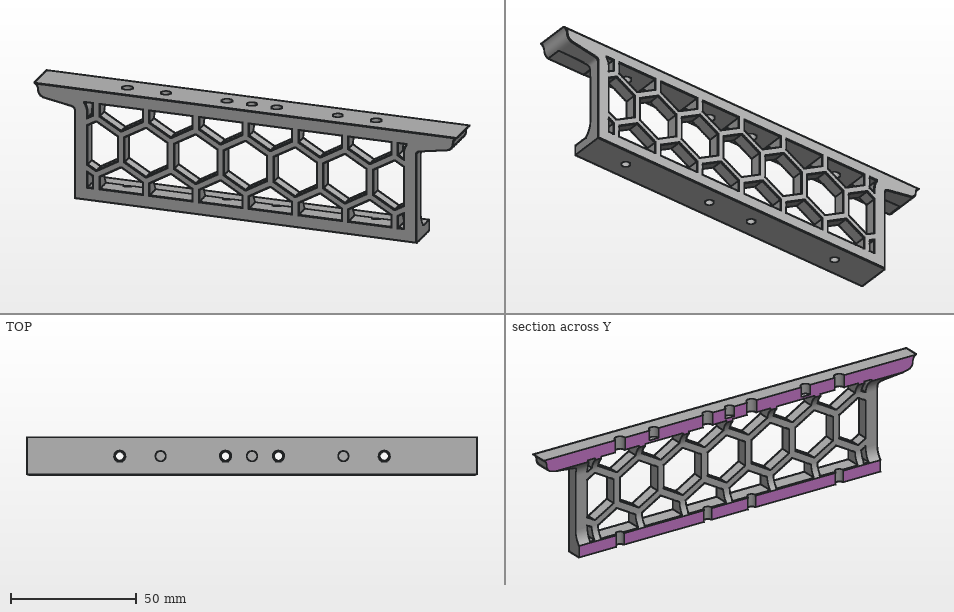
import cadquery as cq
import math

length = 179.0
depth = 15.0
height = 47.0

web_thickness = 5.2
top_flange_thickness = 5.7
bottom_flange_thickness = 4.7
corner_radius = 8.0
corner_height = 6.3

body_half_width = 72.3
wing_slope = math.radians(10)
wing_fillet = 1.6
wing_tip_lower_x = 85.4
wing_tip_lower_z = -5.9
ogee_middle_x = 87.9
ogee_middle_z = -2.7
ogee_upper_bulge = 0.45
ogee_lower_bulge = 0.7

frame_margin = 5.5
cell_pitch = 21.03
cell_wall = 3.0

front_chamfer = 0.3

hole_diameter = 4.5
lower_hole_diameter = 3.5
through_hole_pitches = (-2.5, -0.5, 0.5, 2.5)
blind_hole_diameter = 4.1
blind_hole_spacing = 36.3
blind_hole_depth = 4.3


def bulged_middle(start, end, bulge):
    """Point beside the middle of a chord; a positive bulge lies to the left of start -> end."""
    dx = end[0] - start[0]
    dz = end[1] - start[1]
    chord = math.hypot(dx, dz)
    return (
        (start[0] + end[0]) / 2 - bulge * dz / chord,
        (start[1] + end[1]) / 2 + bulge * dx / chord,
    )


def mirrored(solid):
    """Join a right-hand half with its mirror image."""
    return solid.union(solid.mirror("YZ"))


wing_root_z = wing_tip_lower_z - (wing_tip_lower_x - body_half_width) * math.tan(wing_slope)
fillet_turn = math.pi / 2 - wing_slope
fillet_tangent = wing_fillet * math.tan(fillet_turn / 2)
fillet_centre_x = body_half_width + wing_fillet
fillet_centre_z = wing_root_z - fillet_tangent


def fillet_point(angle):
    return (
        fillet_centre_x + wing_fillet * math.cos(angle),
        fillet_centre_z + wing_fillet * math.sin(angle),
    )


def make_outline():
    """Solid block with the winged outline, over the whole depth."""
    tip = (length / 2, 0)
    ogee_middle = (ogee_middle_x, ogee_middle_z)
    tip_lower = (wing_tip_lower_x, wing_tip_lower_z)
    half = (
        cq.Workplane("XZ")
        .moveTo(0, 0)
        .lineTo(*tip)
        .threePointArc(bulged_middle(tip, ogee_middle, -ogee_upper_bulge), ogee_middle)
        .threePointArc(bulged_middle(ogee_middle, tip_lower, ogee_lower_bulge), tip_lower)
        .lineTo(*fillet_point(math.pi - fillet_turn))
        .threePointArc(fillet_point(math.pi - fillet_turn / 2), fillet_point(math.pi))
        .lineTo(body_half_width, -height)
        .lineTo(0, -height)
        .close()
        .extrude(-depth)
    )
    return mirrored(half)


def make_rear_channel():
    """Space behind the web and between the flanges, with rounded inner corners."""
    ceiling_z = -top_flange_thickness
    floor_z = bottom_flange_thickness - height
    corner_angle = math.asin(corner_height / corner_radius)

    def corner_y(angle):
        return web_thickness + corner_radius * (1 - math.cos(angle))

    def corner_rise(angle):
        return corner_height - corner_radius * math.sin(angle)

    middle_y = corner_y(corner_angle / 2)
    middle_rise = corner_rise(corner_angle / 2)
    return (
        cq.Workplane("YZ")
        .moveTo(depth, floor_z)
        .lineTo(corner_y(corner_angle), floor_z)
        .threePointArc((middle_y, floor_z + middle_rise), (web_thickness, floor_z + corner_height))
        .lineTo(web_thickness, ceiling_z - corner_height)
        .threePointArc((middle_y, ceiling_z - middle_rise), (corner_y(corner_angle), ceiling_z))
        .lineTo(depth, ceiling_z)
        .close()
        .extrude(length / 2, both=True)
    )


def window_outline(workplane):
    """Right half of the window: the outline moved inward, flaring out around the wing fillet."""
    side_x = body_half_width - frame_margin
    flare_radius = wing_fillet + frame_margin
    flare_angle = math.asin((-frame_margin - fillet_centre_z) / flare_radius)

    def flare_point(angle):
        return (
            fillet_centre_x - flare_radius * math.cos(angle),
            fillet_centre_z + flare_radius * math.sin(angle),
        )

    return (
        workplane
        .moveTo(0, -frame_margin)
        .lineTo(*flare_point(flare_angle))
        .threePointArc(flare_point(flare_angle / 2), flare_point(0))
        .lineTo(side_x, frame_margin - height)
        .lineTo(0, frame_margin - height)
        .close()
    )


def cell_outlines(workplane):
    """Three rows of pointed-up hexagonal cells, the middle row centred on the body."""
    row_spacing = cell_pitch * math.cos(math.radians(30))
    cell_corner_diameter = (cell_pitch - cell_wall) / math.cos(math.radians(30))
    middle_row = [(column * cell_pitch, 0) for column in range(-3, 4)]
    outer_rows = [
        ((column + 0.5) * cell_pitch, side * row_spacing)
        for column in range(-4, 4)
        for side in (-1, 1)
    ]
    return (
        workplane
        .center(0, -height / 2)
        .transformed(rotate=(0, 0, 90))
        .pushPoints([(z, -x) for x, z in middle_row + outer_rows])
        .polygon(6, cell_corner_diameter)
    )


def make_openings():
    """The cells cropped by the window, over the whole depth."""
    window = mirrored(window_outline(cq.Workplane("XZ")).extrude(-depth))
    cells = cell_outlines(cq.Workplane("XZ")).extrude(-depth)
    return window.intersect(cells)


def make_opening_chamfers():
    """Mouths of the openings, widening at 45 degrees toward the front face."""
    chamfer_plane = cq.Workplane("XZ", origin=(0, front_chamfer, 0))
    window = mirrored(window_outline(chamfer_plane).extrude(front_chamfer, taper=-45))
    cells = cell_outlines(chamfer_plane).extrude(front_chamfer, taper=-45)
    return window.intersect(cells)


def make_holes(x_positions, diameter, drill_depth):
    """Vertical holes drilled from the top face, in the middle of the depth."""
    return (
        cq.Workplane("XY")
        .pushPoints([(x, depth / 2) for x in x_positions])
        .circle(diameter / 2)
        .extrude(-drill_depth)
    )


through_hole_x = [count * cell_pitch for count in through_hole_pitches]
blind_hole_x = [-blind_hole_spacing, 0, blind_hole_spacing]

result = (
    make_outline()
    .faces("<Y")
    .edges()
    .chamfer(front_chamfer)
    .cut(make_rear_channel())
    .cut(make_openings())
    .cut(make_opening_chamfers())
    .cut(make_holes(through_hole_x, hole_diameter, height / 2))
    .cut(make_holes(through_hole_x, lower_hole_diameter, height))
    .cut(make_holes(blind_hole_x, blind_hole_diameter, blind_hole_depth))
)